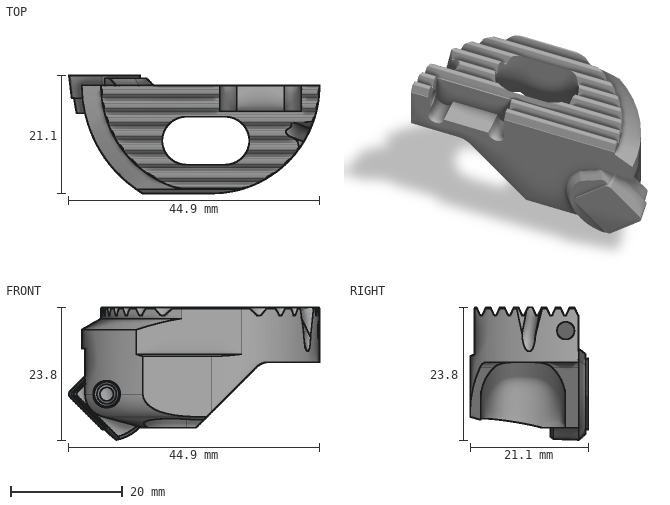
import cadquery as cq
import math


OVERALL_LENGTH = 44.85

END_RADIUS = 19.35
BODY_AXIS_X = -0.5
BODY_RADIUS = 22.65
NECK_RADIUS = 19.25
HOUSING_BOTTOM = -21.55
NECK_BOTTOM = -2.05
SHOULDER_BOTTOM = -4.05
RIM_WIDTH = 0.2
RIM_HEIGHT = 0.3
ROUND_TOP = -15.55
ROUND_RADIUS = 4.15
BOTTOM_CONE_ANGLE = 16.0

UPPER_FLAT_SETBACK = 0.75
STEP_TOP = -8.45
STEP_HEIGHT = 0.35

LUG_BOTTOM = -9.85
DIAGONAL_START_X = -2.75
DIAGONAL_BLEND = 3.05

GAP_COUNT = 8
GAP_SPAN = 17.5
FIRST_GAP_Y = 0.1
TOOTH_DEPTH = 1.52
FLANK_ANGLE = 25.0
ROOT_RADIUS = 0.22
CREST_RADIUS = 0.3

SLOT_X = -1.0
SLOT_Y = -9.9
SLOT_WIDTH = 8.5
SLOT_SPACING = 7.0
SEAT_WIDTH = 15.15

POCKET_LEFT = 1.5
POCKET_RIGHT = 16.1
POCKET_DEPTH = 4.6
POCKET_FLOOR = -6.3
POCKET_RELIEF_RADIUS = 1.52
CROSS_HOLE_RADIUS = 1.55
CROSS_HOLE_Y = -2.3
CROSS_HOLE_Z = -4.2
GROOVE_RADIUS = 1.3
GROOVE_FLARE = 30.0
GROOVE_FOOT = (17.2, -8.95, -8.0)
GROOVE_TURN = -21.0
GROOVE_SLOPE = 62.0

CUT_Z = -15.55
SCREW_X = -18.7
RELIEF = 7.0
INSERT_SIDE = 9.5
INSERT_CORNER = 0.8
INSERT_THICK = 4.05
INSERT_BACK = 1.75
INSERT_REACH = INSERT_SIDE / math.sqrt(2) - INSERT_CORNER * (math.sqrt(2) - 1)
INSERT_X = END_RADIUS - OVERALL_LENGTH + INSERT_REACH
CARTRIDGE_RADIUS = 8.4
CARTRIDGE_BACK = 1.25
CARTRIDGE_DEPTH = 5.0
CARTRIDGE_CHAMFER = 0.55
CARTRIDGE_FACE = 4.57
CARTRIDGE_FACE_ANGLES = (135.0, 225.0)
CARTRIDGE_CORNER = 0.5
CARTRIDGE_FLAT = 8.03
CARTRIDGE_FLAT_ANGLE = 64.0
RECESS_CEILING = -7.45
SCREW_RADIUS = 1.75
SCREW_END = 10.45
SCREW_CHAMFER = 0.55
SLEEVE_RADIUS = 2.4
SLEEVE_END = 9.6
SLEEVE_CHAMFER = 0.22

BIG = 67.25


def block(x0, x1, y0, y1, z0, z1):
    """Box between two opposite corners."""
    return cq.Workplane("XY").box(x1 - x0, y1 - y0, z1 - z0, centered=False).translate((x0, y0, z0))


def screw_axis_rod(radius, y_from, y_to):
    """Cylinder on the screw axis, running toward -Y."""
    return cq.Workplane("XZ", origin=(SCREW_X, y_from, CUT_Z)).circle(radius).extrude(y_from - y_to)


def envelope():
    """Turned left side and round right end, between the back plane and the front flat."""
    slope = math.radians(BOTTOM_CONE_ANGLE)
    centre_r = BODY_RADIUS - ROUND_RADIUS
    half_turn = (math.pi / 2 - slope) / 2
    mid = (
        centre_r + ROUND_RADIUS * math.cos(half_turn),
        ROUND_TOP - ROUND_RADIUS * math.sin(half_turn),
    )
    end = (
        centre_r + ROUND_RADIUS * math.sin(slope),
        ROUND_TOP - ROUND_RADIUS * math.cos(slope),
    )
    cone_foot_r = end[0] - (end[1] - HOUSING_BOTTOM) / math.tan(slope)
    turned = (
        cq.Workplane("XZ")
        .moveTo(0, 0)
        .lineTo(NECK_RADIUS - RIM_WIDTH, 0)
        .lineTo(NECK_RADIUS, -RIM_HEIGHT)
        .lineTo(NECK_RADIUS, NECK_BOTTOM)
        .lineTo(BODY_RADIUS, SHOULDER_BOTTOM)
        .lineTo(BODY_RADIUS, ROUND_TOP)
        .threePointArc(mid, end)
        .lineTo(cone_foot_r, HOUSING_BOTTOM)
        .lineTo(0, HOUSING_BOTTOM)
        .close()
        .revolve(360, (0, 0, 0), (0, 1, 0))
        .translate((BODY_AXIS_X, 0, 0))
        .intersect(block(-BIG, 0, -END_RADIUS, 0, HOUSING_BOTTOM, 0))
    )
    round_end = (
        cq.Workplane("XY")
        .circle(END_RADIUS)
        .extrude(HOUSING_BOTTOM)
        .faces(">Z")
        .chamfer(RIM_HEIGHT, RIM_WIDTH)
        .intersect(block(0, BIG, -BIG, 0, HOUSING_BOTTOM, 0))
    )
    return turned.union(round_end)


def front_step():
    """Material in front of the upper flat, ending in a sloped step."""
    upper_y = -END_RADIUS + UPPER_FLAT_SETBACK
    return (
        cq.Workplane("YZ", origin=(-BIG, 0, 0))
        .polyline([
            (upper_y + RIM_WIDTH, 0),
            (upper_y, -RIM_HEIGHT),
            (upper_y, STEP_TOP),
            (-END_RADIUS, STEP_TOP - STEP_HEIGHT),
            (-BIG, STEP_TOP - STEP_HEIGHT),
            (-BIG, 0),
        ])
        .close()
        .extrude(2 * BIG)
    )


def lug_underside():
    """Material below the lug and the 45 degree underside."""
    corner_x = DIAGONAL_START_X + LUG_BOTTOM - HOUSING_BOTTOM
    profile = (
        cq.Workplane("XZ")
        .polyline([
            (DIAGONAL_START_X, HOUSING_BOTTOM),
            (corner_x, LUG_BOTTOM),
            (BIG, LUG_BOTTOM),
            (BIG, HOUSING_BOTTOM),
        ])
        .close()
        .extrude(BIG)
    )
    return profile.edges(cq.NearestToPointSelector((corner_x, -BIG / 2, LUG_BOTTOM))).fillet(DIAGONAL_BLEND)


def tooth_gaps():
    """Parallel grooves along X that leave the teeth."""
    flank = math.radians(FLANK_ANGLE)
    foot_y = ROOT_RADIUS * math.cos(flank)
    foot_z = -TOOTH_DEPTH + ROOT_RADIUS * (1 - math.sin(flank))
    corner_y = foot_y - foot_z * math.tan(flank)
    half_turn = (math.pi / 2 - flank) / 2
    tangent = CREST_RADIUS * math.tan(half_turn)
    shoulder_y = corner_y - tangent * math.sin(flank)
    shoulder_z = -tangent * math.cos(flank)
    crest_y = corner_y + tangent
    mid_y = crest_y - CREST_RADIUS * math.sin(half_turn)
    mid_z = -CREST_RADIUS * (1 - math.cos(half_turn))
    gap = (
        cq.Workplane("YZ", origin=(-BIG, 0, 0))
        .moveTo(-foot_y, foot_z)
        .threePointArc((0, -TOOTH_DEPTH), (foot_y, foot_z))
        .lineTo(shoulder_y, shoulder_z)
        .threePointArc((mid_y, mid_z), (crest_y, 0))
        .lineTo(-crest_y, 0)
        .threePointArc((-mid_y, mid_z), (-shoulder_y, shoulder_z))
        .close()
        .extrude(2 * BIG)
    )
    pitch = GAP_SPAN / (GAP_COUNT - 1)
    gaps = cq.Workplane("XY")
    for i in range(GAP_COUNT):
        gaps = gaps.add(gap.translate((0, FIRST_GAP_Y - i * pitch, 0)))
    return gaps.combine()


def mounting_slot():
    """Through slot with a wider seat for the fastener, open to the underside."""
    through = (
        cq.Workplane("XY", origin=(SLOT_X, SLOT_Y, 0))
        .slot2D(SLOT_SPACING + SLOT_WIDTH, SLOT_WIDTH)
        .extrude(HOUSING_BOTTOM)
    )
    seat = (
        cq.Workplane("XY", origin=(SLOT_X, SLOT_Y, LUG_BOTTOM))
        .slot2D(SLOT_SPACING + SEAT_WIDTH, SEAT_WIDTH)
        .extrude(HOUSING_BOTTOM - LUG_BOTTOM)
    )
    return through.union(seat)


def back_pocket():
    """Pocket in the back edge with a relief channel at each end, and the hole from it to the round end."""
    pocket = block(POCKET_LEFT, POCKET_RIGHT, -POCKET_DEPTH, 0, POCKET_FLOOR, 0)
    for x in (POCKET_LEFT + POCKET_RELIEF_RADIUS, POCKET_RIGHT - POCKET_RELIEF_RADIUS):
        channel = (
            cq.Workplane("XZ", origin=(x, 0, POCKET_FLOOR))
            .circle(POCKET_RELIEF_RADIUS)
            .extrude(POCKET_DEPTH)
        )
        pocket = pocket.union(channel)
    hole = (
        cq.Workplane("YZ", origin=((POCKET_LEFT + POCKET_RIGHT) / 2, CROSS_HOLE_Y, CROSS_HOLE_Z))
        .circle(CROSS_HOLE_RADIUS)
        .extrude(END_RADIUS)
    )
    return pocket.union(hole)


def slanted_groove():
    """Round-bottomed groove with flared sides that climbs from the round end to the toothed face."""
    mouth = GROOVE_RADIUS + (BIG - GROOVE_RADIUS) * math.tan(math.radians(GROOVE_FLARE))
    groove = (
        cq.Workplane("XY")
        .moveTo(BIG, -mouth)
        .lineTo(GROOVE_RADIUS, -GROOVE_RADIUS)
        .threePointArc((0, 0), (GROOVE_RADIUS, GROOVE_RADIUS))
        .lineTo(BIG, mouth)
        .close()
        .extrude(BIG, both=True)
    )
    return (
        groove.rotate((0, 0, 0), (0, 1, 0), GROOVE_SLOPE - 90)
        .rotate((0, 0, 0), (0, 0, 1), GROOVE_TURN)
        .translate(GROOVE_FOOT)
    )


def outside_plane(angle, distance, taper):
    """Everything beyond a plane of the cartridge.

    The plane is at the given angle and distance from the screw axis at Y = 0, and it
    closes in on the axis toward -Y by the taper angle.
    """
    return (
        block(0, BIG, -BIG, BIG, -BIG, BIG)
        .rotate((0, 0, 0), (0, 0, 1), -taper)
        .translate((distance, 0, 0))
        .rotate((0, 0, 0), (0, 1, 0), -angle)
        .translate((SCREW_X, 0, CUT_Z))
    )


def cartridge_disc():
    """Disc about the screw axis, chamfered on both sides, with a small upper flat."""
    disc = (
        cq.Workplane("XY")
        .polyline([
            (0, CARTRIDGE_BACK),
            (CARTRIDGE_RADIUS - CARTRIDGE_BACK, CARTRIDGE_BACK),
            (CARTRIDGE_RADIUS, 0),
            (CARTRIDGE_RADIUS, CARTRIDGE_CHAMFER - CARTRIDGE_DEPTH),
            (CARTRIDGE_RADIUS - CARTRIDGE_CHAMFER, -CARTRIDGE_DEPTH),
            (0, -CARTRIDGE_DEPTH),
        ])
        .close()
        .revolve(360, (0, 0, 0), (0, 1, 0))
        .translate((SCREW_X, 0, CUT_Z))
    )
    disc = disc.cut(outside_plane(CARTRIDGE_FLAT_ANGLE, CARTRIDGE_FLAT, 0))
    return disc.cut(outside_plane(CARTRIDGE_FLAT_ANGLE, CARTRIDGE_FLAT, -45))


def make_insert_blank():
    """Square insert standing on its corner, still without the screw hole."""
    square = (
        cq.Workplane("XZ")
        .sketch()
        .rect(INSERT_SIDE, INSERT_SIDE)
        .vertices()
        .fillet(INSERT_CORNER)
        .finalize()
        .extrude(INSERT_THICK, taper=RELIEF)
    )
    return square.rotate((0, 0, 0), (0, 1, 0), 45).translate((INSERT_X, INSERT_BACK, CUT_Z))


def make_cartridge(insert_blank):
    """Disc with two 45 degree faces on its left and a nest for the insert."""
    body = cartridge_disc()
    for angle in CARTRIDGE_FACE_ANGLES:
        body = body.cut(outside_plane(angle, CARTRIDGE_FACE, RELIEF))
    corner = (SCREW_X - CARTRIDGE_FACE * math.sqrt(2), 0, CUT_Z)
    body = body.edges(cq.NearestToPointSelector(corner)).fillet(CARTRIDGE_CORNER)
    return body.cut(insert_blank)


def cartridge_recess():
    """Recess that takes the cartridge and opens to the left and below it."""
    opening_right = SCREW_X + CARTRIDGE_FACE / 2
    opening = block(-BIG, opening_right, -CARTRIDGE_DEPTH, 0, -BIG, RECESS_CEILING)
    return cartridge_disc().union(opening)


def make_housing():
    """Toothed slide body that carries the cartridge."""
    body = envelope().cut(front_step()).cut(lug_underside())
    body = body.cut(mounting_slot()).cut(back_pocket()).cut(slanted_groove())
    body = body.cut(tooth_gaps()).cut(cartridge_recess())
    return body.cut(screw_axis_rod(SLEEVE_RADIUS, 0, -BIG))


def make_sleeve():
    """Bush in the housing around the screw."""
    sleeve = screw_axis_rod(SLEEVE_RADIUS, -CARTRIDGE_DEPTH, -SLEEVE_END)
    sleeve = sleeve.faces("<Y").chamfer(SLEEVE_CHAMFER)
    return sleeve.cut(screw_axis_rod(SCREW_RADIUS, BIG, -BIG))


def make_screw():
    """Screw from the back of the insert through cartridge and sleeve."""
    screw = screw_axis_rod(SCREW_RADIUS, INSERT_BACK, -SCREW_END)
    return screw.faces("<Y").chamfer(SCREW_CHAMFER)


screw_bore = screw_axis_rod(SCREW_RADIUS, BIG, -BIG)
insert_blank = make_insert_blank()
insert = insert_blank.cut(screw_bore)
cartridge = make_cartridge(insert_blank).cut(screw_bore)
housing = make_housing()
sleeve = make_sleeve()
screw = make_screw()

result = cq.Compound.makeCompound(
    [body.solids().val() for body in (housing, cartridge, insert, sleeve, screw)]
)